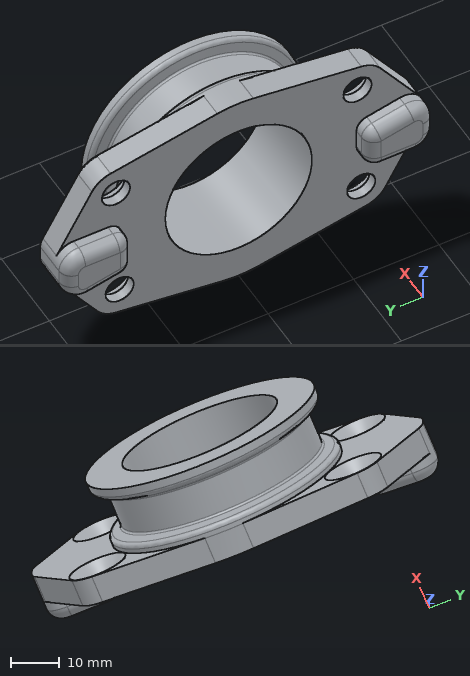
import cadquery as cq
import math

total_length = 25.4
plate_front = 4.9
plate_back = 10.7

body_radius = 50.8 / 2
bore_radius = 34.3 / 2
groove_floor_radius = 44.5 / 2
groove_center = 17.7
groove_floor_width = 8.1
groove_wall_angle = 18.0
rim_fillet = 1.2
root_fillet = 0.5

hole_radius = 6.6 / 2
hole_centers = [(28.7, 13.55), (-27.8, 15.3)]
ear_radius = 6.5
countersink_radius = 6.2
countersink_depth = 3.4

half_span = 43.2
tab_outer_radius = 4.6
tab_inner_radius = 3.0
tab_edge_fillet = 2.9
tab_outer_y = half_span - tab_outer_radius
tab_inner_y = 30.6
tab_outer_low_z = -3.45
tab_outer_high_z = -0.2
tab_inner_low_z = -3.3
tab_inner_high_z = tab_outer_high_z + tab_outer_radius - tab_inner_radius


def half_turn(circle):
    """Return a (y, z, radius) circle turned 180 degrees about the axis."""
    y, z, radius = circle
    return (-y, -z, radius)


def tangent_normal(first, second):
    """Angle of the outward normal of the line touching two circles listed anticlockwise."""
    dy = second[0] - first[0]
    dz = second[1] - first[1]
    lean = math.acos((first[2] - second[2]) / math.hypot(dy, dz))
    return math.atan2(dz, dy) - lean


def point_on(circle, angle):
    y, z, radius = circle
    return (y + radius * math.cos(angle), z + radius * math.sin(angle))


def belt_prism(circles, x_start, x_end):
    """Extrude the taut belt around circles listed anticlockwise in the YZ plane."""
    count = len(circles)
    normals = [tangent_normal(circles[i], circles[(i + 1) % count]) for i in range(count)]
    outline = cq.Workplane("YZ", origin=(x_start, 0, 0)).moveTo(*point_on(circles[0], normals[-1]))
    for i, circle in enumerate(circles):
        arrival = normals[i - 1]
        sweep = (normals[i] - arrival) % (2 * math.pi)
        outline = outline.threePointArc(
            point_on(circle, arrival + sweep / 2), point_on(circle, arrival + sweep)
        )
        following = circles[(i + 1) % count]
        if i < count - 1:
            outline = outline.lineTo(*point_on(following, normals[i]))
    return outline.close().extrude(x_end - x_start)


tab_outer_low = (tab_outer_y, tab_outer_low_z, tab_outer_radius)
tab_outer_high = (tab_outer_y, tab_outer_high_z, tab_outer_radius)
tab_inner_high = (tab_inner_y, tab_inner_high_z, tab_inner_radius)
tab_inner_low = (tab_inner_y, tab_inner_low_z, tab_inner_radius)


def make_plate():
    ears = [(y, z, ear_radius) for y, z in hole_centers]
    upper_half = [tab_outer_high, ears[0], (0, 0, body_radius), ears[1], half_turn(tab_outer_low)]
    lower_half = [half_turn(circle) for circle in upper_half]
    return belt_prism(upper_half + lower_half, plate_front, plate_back)


def make_tab():
    circles = [tab_outer_low, tab_outer_high, tab_inner_high, tab_inner_low]
    tab = belt_prism(circles, 0, plate_back)
    return tab.faces("<X").edges().fillet(tab_edge_fillet)


def make_groove():
    """Ring-shaped cutter with sloped walls and a flat floor."""
    depth = body_radius - groove_floor_radius
    half_floor = groove_floor_width / 2
    half_mouth = half_floor + depth * math.tan(math.radians(groove_wall_angle))
    section = [
        (groove_center - half_mouth, body_radius),
        (groove_center - half_floor, groove_floor_radius),
        (groove_center + half_floor, groove_floor_radius),
        (groove_center + half_mouth, body_radius),
    ]
    return cq.Workplane("XY").polyline(section).close().revolve(360, (0, 0, 0), (1, 0, 0))


def make_body():
    """Round body with its groove, rounded at the rims and the floor."""
    length = total_length - plate_front
    body = cq.Workplane("YZ", origin=(plate_front, 0, 0)).circle(body_radius).extrude(length)
    body = body.cut(make_groove())
    circles = body.edges("%CIRCLE")
    roots = circles.filter(lambda edge: edge.radius() < body_radius - root_fillet)
    body = roots.fillet(root_fillet)

    def is_rim(edge):
        on_rim = edge.radius() > body_radius - root_fillet
        return on_rim and plate_back < edge.Center().x < total_length - root_fillet

    return body.edges("%CIRCLE").filter(is_rim).fillet(rim_fillet)


def make_screw_hole(y, z):
    """Through hole with a conical countersink on the back of the plate."""
    section = [
        (0, 0),
        (0, hole_radius),
        (plate_back - countersink_depth, hole_radius),
        (plate_back, countersink_radius),
        (plate_back, 0),
    ]
    cutter = cq.Workplane("XY").polyline(section).close().revolve(360, (0, 0, 0), (1, 0, 0))
    return cutter.translate((0, y, z))


def make_pierced_plate():
    plate = make_plate()
    for y, z in hole_centers:
        plate = plate.cut(make_screw_hole(y, z))
        plate = plate.cut(make_screw_hole(-y, -z))
    return plate


tab = make_tab()
opposite_tab = tab.rotate((0, 0, 0), (1, 0, 0), 180)
bore = cq.Workplane("YZ").circle(bore_radius).extrude(total_length)
result = make_pierced_plate().union(make_body()).union(tab).union(opposite_tab).cut(bore)